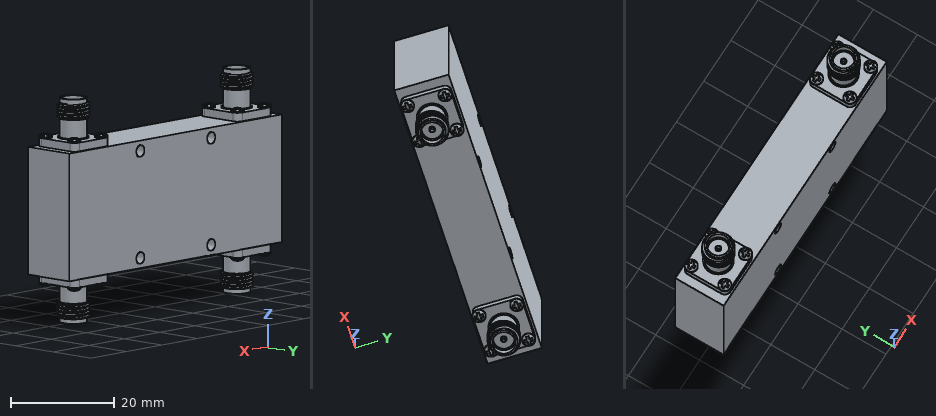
import cadquery as cq
import math

body_length = 60.0
body_depth = 11.05
body_height = 25.1
mount_hole_diameter = 2.3
mount_spacing_x = 20.0
mount_spacing_z = 21.0

overall_height = 44.05
connector_spacing = 46.0
connector_length = (overall_height - body_height) / 2
flange_side = 10.15
flange_corner_radius = 1.25
flange_thickness = 1.7
collar_diameter = 6.0
collar_height = 0.1
barrel_diameter = 5.35

bore_diameter = 4.5
bore_depth = 1.7
floor_diameter = 4.1
floor_depth = 2.0
contact_diameter = 1.15
contact_height = 0.2
contact_hole_diameter = 0.9
contact_hole_depth = 1.2

thread_diameter = 6.35
thread_pitch = 0.7
thread_tip_gap = 0.9
thread_length = 3.1
thread_crest_width = 0.05
thread_root_width = 0.65
thread_end_taper = 0.25
thread_root_overlap = 0.1
sleeve_clearance = 0.1
spare_turns = 3
crest_depth = 1.4

screw_head_diameter = 2.6
screw_rim_height = 0.25
screw_head_height = 0.85
recess_length = 1.7
recess_width = 0.55
recess_depth = 0.4
screw_spacing = flange_side - 2 * flange_corner_radius


def make_body():
    body = cq.Workplane("XY").box(body_length, body_depth, body_height)
    mount_holes = (
        cq.Workplane("XZ")
        .rarray(mount_spacing_x, mount_spacing_z, 2, 2)
        .circle(mount_hole_diameter / 2)
        .extrude(body_depth, both=True)
    )
    return body.cut(mount_holes)


def make_screw_head():
    """Domed pan head with a cross recess, standing on z = 0."""
    rim_radius = screw_head_diameter / 2
    dome_height = screw_head_height - screw_rim_height
    dome_radius = (rim_radius**2 + dome_height**2) / (2 * dome_height)
    half_angle = math.asin(rim_radius / dome_radius) / 2
    dome_middle = (
        dome_radius * math.sin(half_angle),
        screw_head_height - dome_radius * (1 - math.cos(half_angle)),
    )
    head = (
        cq.Workplane("XZ")
        .lineTo(rim_radius, 0)
        .lineTo(rim_radius, screw_rim_height)
        .threePointArc(dome_middle, (0, screw_head_height))
        .close()
        .revolve(360, (0, 0), (0, 1))
    )
    recess = (
        cq.Workplane("XY", origin=(0, 0, screw_head_height - recess_depth))
        .rect(recess_length, recess_width)
        .extrude(recess_depth)
    )
    return head.cut(recess).cut(recess.rotate((0, 0, 0), (0, 0, 1), 90))


def make_thread():
    """Helical ridge trimmed to a sleeve with tapered ends."""
    top = connector_length - thread_tip_gap
    bottom = top - thread_length
    root_radius = barrel_diameter / 2 - thread_root_overlap
    crest_radius = thread_diameter / 2
    sleeve_radius = crest_radius + sleeve_clearance

    reference_crest = connector_length - crest_depth
    turns_below = math.ceil((reference_crest - bottom) / thread_pitch) + 1
    start = reference_crest - turns_below * thread_pitch
    helix_height = thread_length + spare_turns * thread_pitch

    helix = cq.Wire.makeHelix(thread_pitch, helix_height, root_radius)
    ridge = (
        cq.Workplane("XZ")
        .moveTo(root_radius, -thread_root_width / 2)
        .lineTo(crest_radius, -thread_crest_width / 2)
        .lineTo(crest_radius, thread_crest_width / 2)
        .lineTo(root_radius, thread_root_width / 2)
        .close()
        .sweep(cq.Workplane(helix), isFrenet=True)
        .translate((0, 0, start))
    )
    sleeve = (
        cq.Workplane("XY", origin=(0, 0, bottom))
        .circle(sleeve_radius)
        .extrude(thread_length)
        .faces("<Z or >Z")
        .chamfer(thread_end_taper, sleeve_radius - barrel_diameter / 2)
    )
    return ridge.intersect(sleeve)


def make_socket():
    """Volume removed from the tip, leaving a low contact ring on a sunken floor."""
    tip = connector_length
    contact_top = tip - floor_depth + contact_height
    return (
        cq.Workplane("XZ")
        .moveTo(0, tip)
        .lineTo(bore_diameter / 2, tip)
        .lineTo(bore_diameter / 2, tip - bore_depth)
        .lineTo(floor_diameter / 2, tip - floor_depth)
        .lineTo(contact_diameter / 2, tip - floor_depth)
        .lineTo(contact_diameter / 2, contact_top)
        .lineTo(contact_hole_diameter / 2, contact_top)
        .lineTo(contact_hole_diameter / 2, contact_top - contact_hole_depth)
        .lineTo(0, contact_top - contact_hole_depth)
        .close()
        .revolve(360, (0, 0), (0, 1))
    )


def make_connector():
    flange = (
        cq.Workplane("XY")
        .rect(flange_side, flange_side)
        .extrude(flange_thickness)
        .edges("|Z")
        .fillet(flange_corner_radius)
    )
    collar = cq.Workplane("XY").circle(collar_diameter / 2).extrude(flange_thickness + collar_height)
    barrel = cq.Workplane("XY").circle(barrel_diameter / 2).extrude(connector_length)
    connector = barrel.union(make_thread()).union(collar).union(flange).cut(make_socket())

    screw_head = make_screw_head()
    for x_side in (-1, 1):
        for y_side in (-1, 1):
            position = (x_side * screw_spacing / 2, y_side * screw_spacing / 2, flange_thickness)
            connector = connector.union(screw_head.translate(position))
    return connector


result = make_body()
connector = make_connector().translate((0, 0, body_height / 2))
for x_side in (-1, 1):
    upper = connector.translate((x_side * connector_spacing / 2, 0, 0))
    lower = upper.rotate((0, 0, 0), (0, 1, 0), 180)
    result = result.union(upper).union(lower)